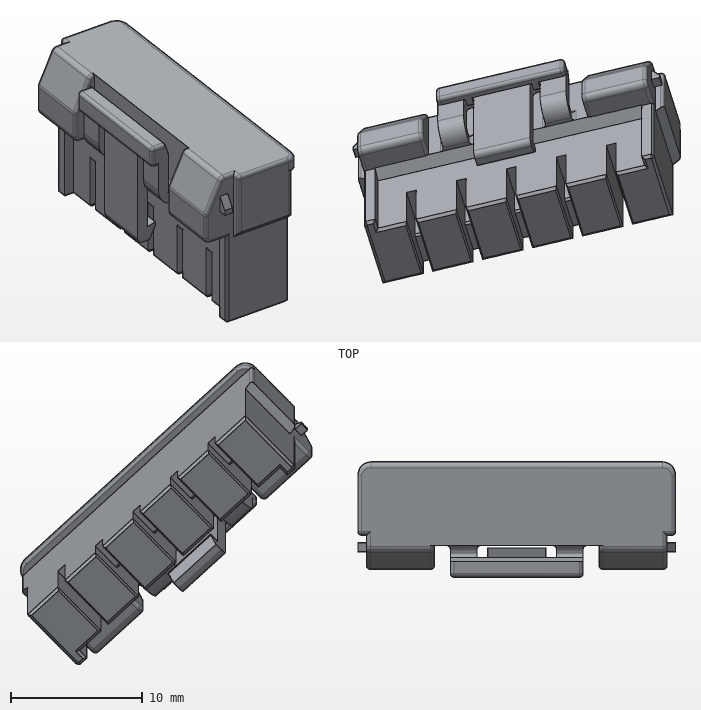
import cadquery as cq
import math


length = 24.2
depth = 8.8
height = 13.3
edge_round = 0.3

housing_length = 22.9
housing_front = -5.61
bottom_chamfer = 0.22
post_width = 0.92
post_chamfer_x = 0.15
post_chamfer_y = 0.25
recess_front = -4.8
recess_top = 7.25
recess_length = housing_length - 2 * post_width

slot_count = 5
slot_pitch = 3.95
slot_width = 0.75
slot_top = 4.53
slot_flare = 0.12
web_bottom = 2.03
web_front = -2.42
web_chamfer = 0.17

cap_front = -4.94
cap_bottom = 7.62
cap_back_round = 0.22
lip_back = 0.68
lip_height = 1.25
lip_corner_round = 1.02
lip_top_round = 0.48
lip_bottom_round = 0.22
lip_core = 0.25
lip_core_overlap = 0.12
lip_axis_x = length / 2 - lip_corner_round
lip_axis_y = lip_back - lip_corner_round
lip_round_top = height - lip_height + lip_bottom_round

deck_front = -5.7
deck_bottom = 7.8

front_plane = -7.53
cheek_inner_x = 6.27
cheek_bottom = 7.77
cheek_slope_back = -6.1
cheek_slope_bottom = 10.35
cheek_front_round = 0.5

bump_front = -6.2
bump_back = -5.5
bump_top = 11.7
bump_edge = 10.75
bump_bottom = 10.3

latch_length = 10.12
handle_front = lip_back - depth
handle_back = -6.92
handle_bottom = 11.57
plate_back = -6.6
plate_slope_bottom = 12.35
leg_outer_round = 1.52
valley_wall_round = 0.58
valley_top = 9.2
arm_width = 4.45
gap_width = 0.8
gap_top = 11.66
arm_bottom = 3.12
arm_round = 0.48
hook_tip_y = -5.88
hook_tip_top = 4.53
hook_tip_bottom = 4.2
hook_root_top = 4.35
hook_ramp_bottom_y = -6.45

embed = 0.73


def along_x(profile, x_start, x_end):
    """Extrude a closed profile drawn in the YZ plane from x_start to x_end."""
    return profile.extrude(x_end - x_start).translate((x_start, 0, 0))


def block(x_range, y_range, z_range):
    """Axis-aligned box given by its limits."""
    ranges = (x_range, y_range, z_range)
    sizes = [high - low for low, high in ranges]
    corner = [low for low, _ in ranges]
    return cq.Workplane("XY").box(*sizes, centered=False).translate(tuple(corner))


def both_sides(solid):
    """The solid together with its mirror image across X = 0."""
    return solid.union(solid.mirror("YZ"))


def make_slot(x_centre, closed_at_back):
    """Cutter for one slot; a closed slot leaves a web in the upper back part."""
    half = slot_width / 2
    mouth = half + slot_flare
    slot = (
        cq.Workplane("XZ")
        .polyline([
            (-mouth, 0), (-half, bottom_chamfer), (-half, slot_top),
            (half, slot_top), (half, bottom_chamfer), (mouth, 0),
        ])
        .close()
        .extrude(-housing_front)
    )
    if closed_at_back:
        web = along_x(
            cq.Workplane("YZ")
            .polyline([
                (0, web_bottom), (web_front + web_chamfer, web_bottom),
                (web_front, web_bottom + web_chamfer), (web_front, slot_top), (0, slot_top),
            ])
            .close(),
            -half, half,
        )
        slot = slot.cut(web)
    return slot.translate((x_centre, 0, 0))


def make_housing():
    half = housing_length / 2
    body = (
        cq.Workplane("XY")
        .polyline([
            (-half, 0), (half, 0),
            (half, housing_front + post_chamfer_y), (half - post_chamfer_x, housing_front),
            (recess_length / 2, housing_front), (recess_length / 2, recess_front),
            (-recess_length / 2, recess_front), (-recess_length / 2, housing_front),
            (post_chamfer_x - half, housing_front), (-half, housing_front + post_chamfer_y),
        ])
        .close()
        .extrude(cap_bottom + embed)
        .faces("<Z").edges().chamfer(bottom_chamfer)
    )
    for index in range(slot_count):
        x_centre = (index - (slot_count - 1) / 2) * slot_pitch
        is_last = index == slot_count - 1
        body = body.cut(make_slot(x_centre, closed_at_back=not is_last))
    return body


def make_cap():
    """Cap block, with sloped ends underneath and the overhanging lip left off."""
    half = length / 2
    end_slope = (length - housing_length) / 2
    outline = (
        block((-half, half), (cap_front, lip_back), (cap_bottom, height))
        .edges("|Z and >Y").fillet(lip_corner_round)
        .edges("|Z and <Y").fillet(edge_round)
    )
    end_view = (
        cq.Workplane("XZ")
        .polyline([
            (half - end_slope, cap_bottom), (half, cap_bottom + end_slope), (half, height),
            (-half, height), (-half, cap_bottom + end_slope), (end_slope - half, cap_bottom),
        ])
        .close()
        .extrude(-cap_front)
    )
    upper_limits = ((-half, half), (cap_front, lip_axis_y), (lip_round_top, height))
    lower_limits = ((-half, half), (cap_front, 0), (cap_bottom, lip_round_top))
    upper = outline.intersect(block(*upper_limits)).faces(">Z").edges("not >Y").fillet(edge_round)
    lower = outline.intersect(block(*lower_limits)).edges("|Z and >Y").fillet(cap_back_round)
    return upper.union(lower.intersect(end_view))


def lip_section(angle):
    """Upright section of the lip, turned by angle from the end (0) to the back (90 degrees)."""
    top_round = edge_round + (lip_top_round - edge_round) * angle / 90
    radial = cq.Vector(math.cos(math.radians(angle)), math.sin(math.radians(angle)), 0)
    plane = cq.Plane(
        origin=(lip_axis_x, lip_axis_y, 0), xDir=radial, normal=radial.cross(cq.Vector(0, 0, 1)),
    )
    reach = lip_corner_round
    bottom = height - lip_height
    return (
        cq.Workplane(plane)
        .moveTo(lip_core, bottom)
        .lineTo(reach - lip_bottom_round, bottom)
        .radiusArc((reach, bottom + lip_bottom_round), -lip_bottom_round)
        .lineTo(reach, height - top_round)
        .radiusArc((reach - top_round, height), -top_round)
        .lineTo(lip_core, height)
        .close()
    )


def make_lip():
    """Straight bar along the back, joined to the ends by corners whose top rounding tapers."""
    wires = [lip_section(angle).val() for angle in (0, 45, 90)]
    corner = cq.Workplane(cq.Solid.makeLoft(wires))
    bar = lip_section(90).extrude(-2 * lip_axis_x)
    return bar.union(both_sides(corner))


def make_lip_core():
    """Block that fills the space enclosed by the lip and overlaps both the lip and the cap."""
    reach = lip_core + lip_core_overlap
    return block(
        (-lip_axis_x - reach, lip_axis_x + reach),
        (lip_axis_y - embed, lip_axis_y + reach),
        (height - lip_height, height),
    )


def make_deck():
    """Wall behind the latch, with the sloped underside above the recessed front."""
    profile = (
        cq.Workplane("YZ")
        .polyline([
            (cap_front + embed, height), (deck_front, height), (deck_front, deck_bottom),
            (recess_front, recess_top), (cap_front + embed, recess_top),
        ])
        .close()
    )
    return along_x(profile, -recess_length / 2, recess_length / 2)


def make_cheek():
    profile = (
        cq.Workplane("YZ")
        .polyline([
            (cap_front + embed, height), (cheek_slope_back, height),
            (front_plane, cheek_slope_bottom), (front_plane, cheek_bottom),
            (cap_front + embed, cheek_bottom),
        ])
        .close()
    )
    cheek = along_x(profile, cheek_inner_x, housing_length / 2)
    cheek = cheek.edges("|X and (not >Y)").fillet(cheek_front_round)
    return cheek.faces("<X or >X").edges("not >Y").fillet(edge_round)


def make_bump():
    root_x = housing_length / 2
    return (
        cq.Workplane("XZ", origin=(0, bump_back, 0))
        .polyline([
            (root_x - embed, bump_top), (root_x, bump_top), (length / 2, bump_edge),
            (length / 2, bump_bottom), (root_x - embed, bump_bottom),
        ])
        .close()
        .extrude(bump_back - bump_front)
    )


def leg_profile():
    """Hook-shaped section: down from the handle and round into the deck wall."""
    wall = deck_front + edge_round
    valley_plate_round = deck_front - valley_wall_round - plate_back
    valley_bottom = valley_top - valley_wall_round
    valley_y = deck_front - valley_wall_round
    diagonal = math.sqrt(0.5)
    return (
        cq.Workplane("YZ")
        .moveTo(handle_back, height)
        .lineTo(handle_back, handle_bottom + edge_round)
        .lineTo(front_plane, handle_bottom + edge_round)
        .lineTo(front_plane, deck_bottom + leg_outer_round)
        .radiusArc((front_plane + leg_outer_round, deck_bottom), -leg_outer_round)
        .lineTo(wall, deck_bottom)
        .lineTo(wall, valley_top)
        .lineTo(deck_front, valley_top)
        .threePointArc(
            (valley_y + valley_wall_round * diagonal, valley_top - valley_wall_round * diagonal),
            (valley_y, valley_bottom),
        )
        .threePointArc(
            (
                valley_y - valley_plate_round * diagonal,
                valley_bottom + valley_plate_round * (1 - diagonal),
            ),
            (plate_back, valley_bottom + valley_plate_round),
        )
        .lineTo(plate_back, plate_slope_bottom)
        .close()
    )


def make_leg_flare(leg_inner_x):
    """Leg root, widened on both sides by a concave rounding against the deck wall."""
    outer_x = latch_length / 2
    root = (
        cq.Workplane("XY")
        .moveTo(leg_inner_x - edge_round, deck_front)
        .radiusArc((leg_inner_x, deck_front - edge_round), edge_round)
        .lineTo(outer_x, deck_front - edge_round)
        .radiusArc((outer_x + edge_round, deck_front), edge_round)
        .close()
        .extrude(height)
    )
    wide_leg = along_x(leg_profile(), leg_inner_x - edge_round, outer_x + edge_round)
    return wide_leg.intersect(root)


def make_arm():
    profile = (
        cq.Workplane("YZ")
        .moveTo(plate_back, plate_slope_bottom)
        .lineTo(front_plane, plate_slope_bottom)
        .lineTo(front_plane, arm_bottom + arm_round)
        .radiusArc((front_plane + arm_round, arm_bottom), -arm_round)
        .lineTo(hook_ramp_bottom_y, arm_bottom)
        .lineTo(hook_tip_y, hook_tip_bottom)
        .lineTo(hook_tip_y, hook_tip_top)
        .lineTo(plate_back, hook_root_top)
        .close()
    )
    return along_x(profile, -arm_width / 2, arm_width / 2)


def make_latch():
    half = latch_length / 2
    leg_inner_x = arm_width / 2 + gap_width
    handle = (
        block((-half, half), (handle_front, handle_back), (handle_bottom, height))
        .edges("|Y or <Y").fillet(edge_round)
    )
    plate = along_x(leg_profile(), -half, half)
    gap_centre = (arm_width + gap_width) / 2
    gap_round = gap_width / 2
    gap = (
        cq.Workplane("XZ", origin=(gap_centre, deck_front, 0))
        .moveTo(-gap_round, 0)
        .lineTo(-gap_round, gap_top - gap_round)
        .threePointArc((0, gap_top), (gap_round, gap_top - gap_round))
        .lineTo(gap_round, 0)
        .close()
        .extrude(deck_front - front_plane)
    )
    behind_arm = block(
        (-arm_width / 2, arm_width / 2),
        (front_plane, deck_front + embed),
        (0, gap_top - gap_round),
    )
    plate = plate.cut(behind_arm).cut(both_sides(gap))
    flares = both_sides(make_leg_flare(leg_inner_x))
    return plate.union(handle).union(make_arm()).union(flares)


result = (
    make_housing()
    .union(make_cap())
    .union(make_lip_core())
    .union(make_lip())
    .union(make_deck())
    .union(both_sides(make_cheek()))
    .union(both_sides(make_bump()))
    .union(make_latch())
)